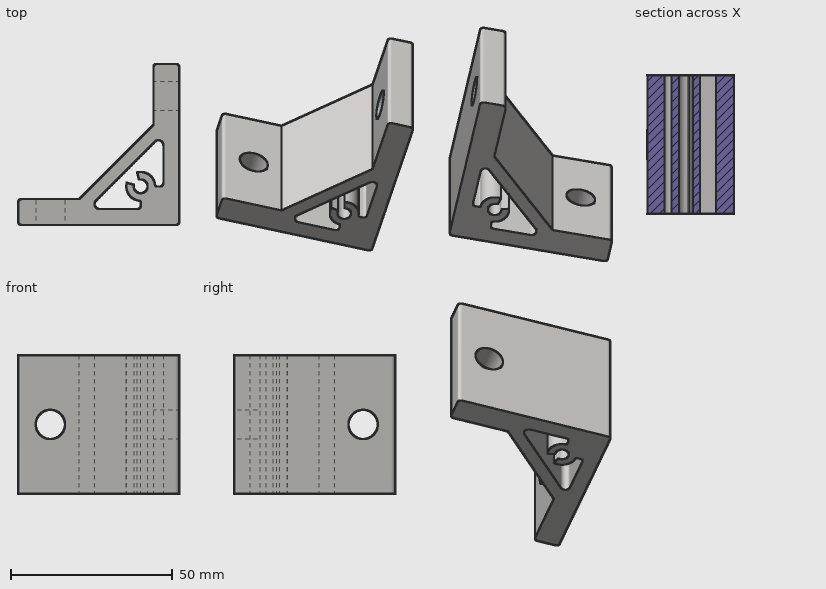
import cadquery as cq
import math

LEG_LENGTH = 50
HEIGHT = 43
LEG_THICKNESS = 8.1
EDGE_RADIUS = 1.1

WEB_START = 31.1
WEB_THICKNESS = 4.1

CAVITY_WALL = 5
CAVITY_TIP_RADIUS = 1.5
CAVITY_FOOT_RADIUS = 1
CAVITY_RING_RADIUS = 0.5

RING_OFFSET = 12
RING_OUTER_RADIUS = 4.5
RING_BORE_RADIUS = 2.1
RING_GAP_ANGLE = 60
RING_LIP_RADIUS = 0.3

HOLE_DIAMETER = 9
HOLE_TO_LEG_END = 10


def fillet_upright_edges(solid, points, radius):
    """Round the vertical edges that stand at the given (x, y) points."""
    for x, y in points:
        nearest = cq.selectors.NearestToPointSelector((x, y, HEIGHT / 2))
        solid = solid.edges("|Z").edges(nearest).fillet(radius)
    return solid


def make_body():
    """Both legs and the solid corner gusset, with rounded outer edges."""
    outline = [
        (0, 0),
        (0, LEG_LENGTH),
        (-LEG_THICKNESS, LEG_LENGTH),
        (-LEG_THICKNESS, WEB_START),
        (-WEB_START, LEG_THICKNESS),
        (-LEG_LENGTH, LEG_THICKNESS),
        (-LEG_LENGTH, 0),
    ]
    body = cq.Workplane("XY").polyline(outline).close().extrude(HEIGHT)
    rounded_corners = outline[:3] + outline[5:]
    return fillet_upright_edges(body, rounded_corners, EDGE_RADIUS)


def make_cavity():
    """Triangle behind the web, less the square corner block and the slotted ring."""
    web_side_sum = WEB_START + LEG_THICKNESS - WEB_THICKNESS * math.sqrt(2)
    tip = web_side_sum - CAVITY_WALL
    triangle = [(-CAVITY_WALL, CAVITY_WALL), (-CAVITY_WALL, tip), (-tip, CAVITY_WALL)]
    cavity = cq.Workplane("XY").polyline(triangle).close().extrude(HEIGHT)

    corner_block = (
        cq.Workplane("XY")
        .rect(-RING_OFFSET, RING_OFFSET, centered=False)
        .extrude(HEIGHT)
    )
    ring = (
        cq.Workplane("XY")
        .center(-RING_OFFSET, RING_OFFSET)
        .circle(RING_OUTER_RADIUS)
        .extrude(HEIGHT)
    )
    cavity = cavity.cut(corner_block).cut(ring)

    ring_side = RING_OFFSET - RING_OUTER_RADIUS
    wall_feet = [(-CAVITY_WALL, RING_OFFSET), (-RING_OFFSET, CAVITY_WALL)]
    ring_feet = [(-ring_side, RING_OFFSET), (-RING_OFFSET, ring_side)]
    cavity = fillet_upright_edges(cavity, triangle[1:], CAVITY_TIP_RADIUS)
    cavity = fillet_upright_edges(cavity, wall_feet, CAVITY_FOOT_RADIUS)
    return fillet_upright_edges(cavity, ring_feet, CAVITY_RING_RADIUS)


def make_ring_opening():
    """Bore of the screw ring and the wedge-shaped gap towards the web."""
    middle_angle = math.radians(135)
    half_gap = math.radians(RING_GAP_ANGLE / 2)
    gap_start = middle_angle - half_gap
    gap_end = middle_angle + half_gap

    def at_angle(radius, angle):
        return (-RING_OFFSET + radius * math.cos(angle), RING_OFFSET + radius * math.sin(angle))

    bore = (
        cq.Workplane("XY")
        .center(-RING_OFFSET, RING_OFFSET)
        .circle(RING_BORE_RADIUS)
        .extrude(HEIGHT)
    )
    gap = (
        cq.Workplane("XY")
        .moveTo(-RING_OFFSET, RING_OFFSET)
        .lineTo(*at_angle(RING_OUTER_RADIUS, gap_start))
        .threePointArc(
            at_angle(RING_OUTER_RADIUS, middle_angle),
            at_angle(RING_OUTER_RADIUS, gap_end),
        )
        .close()
        .extrude(HEIGHT)
    )
    lips = [at_angle(RING_BORE_RADIUS, gap_start), at_angle(RING_BORE_RADIUS, gap_end)]
    return fillet_upright_edges(bore.union(gap), lips, RING_LIP_RADIUS)


def make_leg_holes():
    """One plain hole through each leg, at mid height."""
    along = LEG_LENGTH - HOLE_TO_LEG_END
    radius = HOLE_DIAMETER / 2
    x_leg_hole = cq.Solid.makeCylinder(
        radius, LEG_THICKNESS, cq.Vector(-along, 0, HEIGHT / 2), cq.Vector(0, 1, 0)
    )
    y_leg_hole = cq.Solid.makeCylinder(
        radius, LEG_THICKNESS, cq.Vector(0, along, HEIGHT / 2), cq.Vector(-1, 0, 0)
    )
    return cq.Workplane("XY").add(x_leg_hole).add(y_leg_hole).combine()


result = (
    make_body()
    .cut(make_cavity())
    .cut(make_ring_opening())
    .cut(make_leg_holes())
)